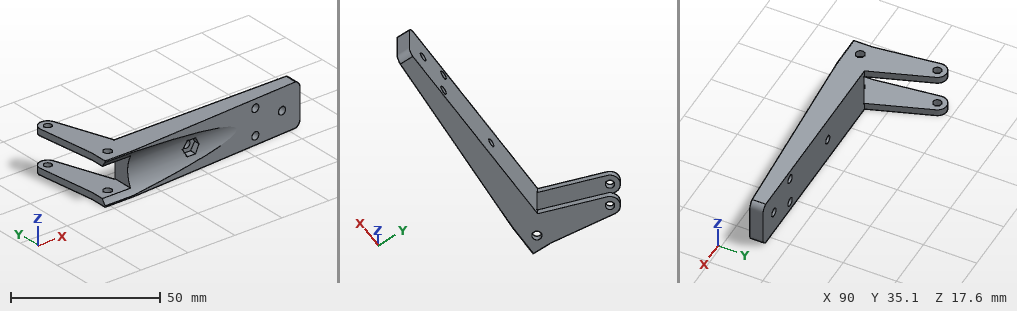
import cadquery as cq
import math

width = 17.6
overall_length = 90.0
overall_height = 35.12
lug_radius = 3.5
lug_x = 0.4
lug_y = overall_height - lug_radius
bar_end_x = lug_x - lug_radius + overall_length
bar_height = 10.0
bar_end_height = 5.0
taper_start_x = 12.0
heel_height = 7.1
inner_corner_x = 11.7
end_corner_radius = 3.0
end_corner_trim = 0.15

slot_width = 12.2
slot_end_x = 12.0
pin_hole_diameter = 3.3
pivot_x = 5.0
pivot_y = 5.0
lug_hole_diameter = 3.0

trough_radius = 12.5
trough_depth = 3.1

screw_diameter = 3.0
nut_x = 38.9
nut_across_flats = 6.05
nut_floor_y = 5.5
mount_diameter = 3.1
mount_pair_x = 66.8
mount_pair_half_spacing = 5.25
mount_single_x = 78.8


def lug_tangent_point(x, y, side):
    """Point where a line from (x, y) touches the lug circle; side is +1 or -1."""
    dx = x - lug_x
    dy = y - lug_y
    touch_angle = math.atan2(dy, dx) + side * math.acos(lug_radius / math.hypot(dx, dy))
    return (
        lug_x + lug_radius * math.cos(touch_angle),
        lug_y + lug_radius * math.sin(touch_angle),
    )


def along_y(x, z):
    """Workplane at (x, 0, z) whose extrusions run toward +Y."""
    return cq.Workplane(cq.Plane(origin=(x, 0, z), xDir=(1, 0, 0), normal=(0, 1, 0)))


def lever_body():
    """Lever with rounded end corners, rounded slightly oversize and then trimmed to width."""
    blank_width = width + 2 * end_corner_trim
    inner_touch = lug_tangent_point(inner_corner_x, bar_height, 1)
    outer_touch = lug_tangent_point(0, heel_height, -1)
    blank = (
        cq.Workplane("XY")
        .moveTo(0, 0)
        .lineTo(taper_start_x, 0)
        .lineTo(bar_end_x, bar_height - bar_end_height)
        .lineTo(bar_end_x, bar_height)
        .lineTo(inner_corner_x, bar_height)
        .lineTo(*inner_touch)
        .threePointArc((lug_x, lug_y + lug_radius), outer_touch)
        .lineTo(0, heel_height)
        .close()
        .extrude(blank_width / 2, both=True)
        .edges("|Y and >X")
        .fillet(end_corner_radius)
    )
    return blank.intersect(cq.Workplane("XY").box(2 * overall_length, 2 * overall_height, width))


def fork_slot():
    slot_start_x = lug_x - lug_radius
    slot_length = slot_end_x - slot_start_x
    slot = cq.Workplane("XY").box(slot_length, overall_height, slot_width, centered=(False, False, True))
    return slot.translate((slot_start_x, 0, 0))


def trough():
    axis_y = trough_depth - trough_radius
    return cq.Workplane("YZ").center(axis_y, 0).circle(trough_radius).extrude(bar_end_x)


def cross_hole(x, y, diameter):
    """Hole along Z through both sides of the fork."""
    return cq.Workplane("XY").center(x, y).circle(diameter / 2).extrude(width / 2, both=True)


def bar_hole(x, z, diameter):
    """Hole along Y through the bar."""
    return along_y(x, z).circle(diameter / 2).extrude(bar_height)


def nut_pocket():
    """Hexagonal recess opening into the trough, with two corners along X."""
    across_corners = nut_across_flats / math.cos(math.pi / 6)
    return along_y(nut_x, 0).polygon(6, across_corners).extrude(nut_floor_y)


result = lever_body().cut(fork_slot()).cut(trough())
result = result.cut(cross_hole(pivot_x, pivot_y, pin_hole_diameter))
result = result.cut(cross_hole(lug_x, lug_y, lug_hole_diameter))
result = result.cut(nut_pocket()).cut(bar_hole(nut_x, 0, screw_diameter))
for side in (-1, 1):
    result = result.cut(bar_hole(mount_pair_x, side * mount_pair_half_spacing, mount_diameter))
result = result.cut(bar_hole(mount_single_x, 0, mount_diameter))